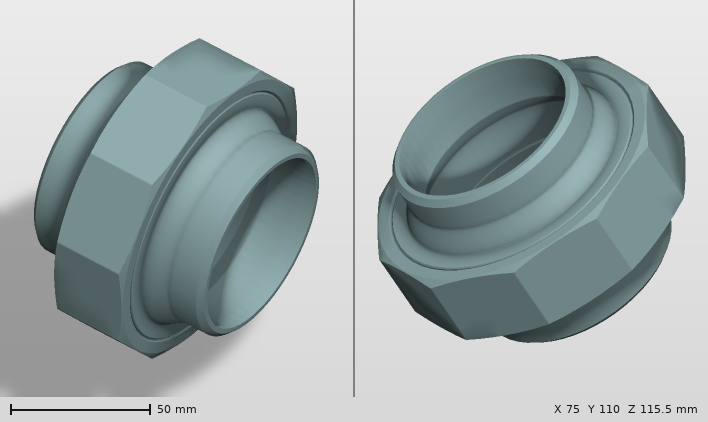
import cadquery as cq
import math


total_length = 75.0
end_x = total_length / 2

nut_sides = 10
nut_across_flats = 110.0
nut_width = 30.0
nut_left_x = -15.4
nut_right_x = nut_left_x + nut_width
nut_corner_radius = 1.2
nut_face_diameter = 109.1
nut_chamfer_angle = 25.0
nut_bore_diameter = 98.6
nut_mouth_diameter = 100.3

pipe_diameter = 76.2
pipe_bore_diameter = 68.1
weld_chamfer = 2.2
neck_diameter = 86.0
flange_face_diameter = 97.4
chamber_diameter = 75.5
cone_angle = 30.0
blend_radius = 1.0
cone_slope = math.tan(math.radians(cone_angle))
outer_cone_length = (neck_diameter - pipe_diameter) / 2 / cone_slope
inner_cone_length = (chamber_diameter - pipe_bore_diameter) / 2 / cone_slope
flange_chamfer = (nut_bore_diameter - flange_face_diameter) / 2
left_chamber_x = -11.3
right_chamber_x = 11.0

seal_bore_diameter = 78.0
seal_left_x = 2.3
seal_right_x = 5.0
mouth_radius = 0.5


def revolve_about_x(profile):
    """Turn a profile of (x, radius) points around the X axis."""
    return profile.close().revolve(360, (0, 0, 0), (1, 0, 0))


def make_nut():
    corner_diameter = nut_across_flats / math.cos(math.pi / nut_sides)
    prism = (
        cq.Workplane("YZ")
        .workplane(offset=nut_left_x)
        .polygon(nut_sides, corner_diameter)
        .extrude(nut_width)
        .edges("|X")
        .fillet(nut_corner_radius)
        .rotate((0, 0, 0), (1, 0, 0), 90)
    )
    bevel_depth = (corner_diameter - nut_face_diameter) / 2
    bevel_width = bevel_depth * math.tan(math.radians(nut_chamfer_angle))
    mouth_chamfer = (nut_mouth_diameter - nut_bore_diameter) / 2
    blank = revolve_about_x(
        cq.Workplane("XY")
        .moveTo(nut_left_x, nut_mouth_diameter / 2)
        .lineTo(nut_left_x, nut_face_diameter / 2)
        .lineTo(nut_left_x + bevel_width, corner_diameter / 2)
        .lineTo(nut_right_x - bevel_width, corner_diameter / 2)
        .lineTo(nut_right_x, nut_face_diameter / 2)
        .lineTo(nut_right_x, nut_mouth_diameter / 2)
        .lineTo(nut_right_x - mouth_chamfer, nut_bore_diameter / 2)
        .lineTo(nut_left_x + mouth_chamfer, nut_bore_diameter / 2)
    )
    return prism.intersect(blank)


def circle_at(x, diameter, margin=0.1):
    """Selector for the circular edge of a given diameter centred on the axis at x."""
    reach = diameter / 2 + margin
    inner_reach = diameter / 2 - margin
    outer_box = cq.selectors.BoxSelector(
        (x - margin, -reach, -reach), (x + margin, reach, reach), boundingbox=True
    )
    inner_box = cq.selectors.BoxSelector(
        (x - margin, -inner_reach, -inner_reach), (x + margin, inner_reach, inner_reach), boundingbox=True
    )
    return outer_box - inner_box


def make_weld_end(side, flange_x, chamber_x, seal_x):
    """Weld end on the -X side (side = -1) or the +X side (side = 1)."""
    pipe_end_x = side * end_x
    cone_start_x = flange_x + side * outer_cone_length
    bore_start_x = chamber_x + side * inner_cone_length
    body = revolve_about_x(
        cq.Workplane("XY")
        .moveTo(pipe_end_x, pipe_bore_diameter / 2)
        .lineTo(pipe_end_x, pipe_diameter / 2 - weld_chamfer)
        .lineTo(pipe_end_x - side * weld_chamfer, pipe_diameter / 2)
        .lineTo(cone_start_x, pipe_diameter / 2)
        .lineTo(flange_x, neck_diameter / 2)
        .lineTo(flange_x, flange_face_diameter / 2)
        .lineTo(flange_x - side * flange_chamfer, nut_bore_diameter / 2)
        .lineTo(seal_x, nut_bore_diameter / 2)
        .lineTo(seal_x, chamber_diameter / 2)
        .lineTo(chamber_x, chamber_diameter / 2)
        .lineTo(bore_start_x, pipe_bore_diameter / 2)
    )
    cone_corners = (
        (cone_start_x, pipe_diameter),
        (flange_x, neck_diameter),
        (bore_start_x, pipe_bore_diameter),
        (chamber_x, chamber_diameter),
    )
    for x, diameter in cone_corners:
        body = body.edges(circle_at(x, diameter)).fillet(blend_radius)
    return body


def make_seal():
    return (
        cq.Workplane("YZ")
        .workplane(offset=seal_left_x)
        .circle(nut_bore_diameter / 2)
        .circle(seal_bore_diameter / 2)
        .extrude(seal_right_x - seal_left_x)
    )


nut = make_nut()
left_end = make_weld_end(-1, nut_left_x, left_chamber_x, seal_left_x)
right_end = make_weld_end(1, nut_right_x, right_chamber_x, seal_right_x)
right_end = right_end.edges(circle_at(seal_right_x, chamber_diameter)).fillet(mouth_radius)
seal = make_seal()

result = cq.Compound.makeCompound([nut.val(), left_end.val(), right_end.val(), seal.val()])